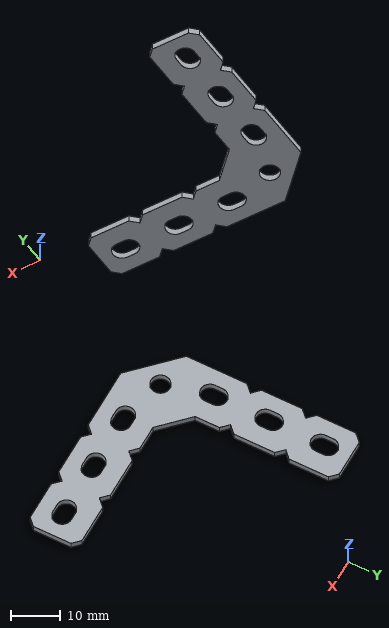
import cadquery as cq

arm_length = 50.5
arm_width = 11.92
thickness = 1.57

pitch = 12.7
slots_per_arm = 3
first_slot = 19.125
slot_line = 5.54
hole_diameter = 4.29
slot_width = 4.21
slot_length = 5.98
corner_hole_offset = 8.38

notch_depth = 1.66
outer_corner_cut = 9.87
inner_corner_fill = 6.31


def make_plate():
    """L-shaped plate with a cut outer corner, a filled inner corner and chamfered arm ends."""
    end_shoulder = arm_length - notch_depth
    inner_bend = arm_width + inner_corner_fill
    x_arm = [
        (outer_corner_cut, 0),
        (end_shoulder, 0),
        (arm_length, notch_depth),
        (arm_length, arm_width - notch_depth),
        (end_shoulder, arm_width),
        (inner_bend, arm_width),
    ]
    y_arm = [(y, x) for x, y in reversed(x_arm)]
    return cq.Workplane("XY").polyline(x_arm + y_arm).close().extrude(thickness)


def make_notch_pair(x):
    """Cutter for the two opposite V notches across the X arm at the given X."""
    notches = cq.Workplane("XY")
    for edge in (0, arm_width):
        diamond = [
            (x - notch_depth, edge),
            (x, edge - notch_depth),
            (x + notch_depth, edge),
            (x, edge + notch_depth),
        ]
        notches = notches.polyline(diamond).close()
    return notches.extrude(thickness)


def make_arm_cutter():
    """Slots along the X arm and the notch pairs midway between them."""
    slot_centres = [(first_slot + i * pitch, slot_line) for i in range(slots_per_arm)]
    cutter = (
        cq.Workplane("XY")
        .pushPoints(slot_centres)
        .slot2D(slot_length, slot_width)
        .extrude(thickness)
    )
    for slot_x, _ in slot_centres[:-1]:
        cutter = cutter.add(make_notch_pair(slot_x + pitch / 2))
    return cutter.combine()


def mirror_to_y_arm(cutter):
    """Reflect an X arm cutter across the diagonal X = Y."""
    return cutter.mirror("XZ").rotate((0, 0, 0), (0, 0, 1), 90)


def make_corner_hole():
    """Cutter for the round hole on the diagonal of the corner."""
    return (
        cq.Workplane("XY")
        .center(corner_hole_offset, corner_hole_offset)
        .circle(hole_diameter / 2)
        .extrude(thickness)
    )


arm_cutter = make_arm_cutter()
result = (
    make_plate()
    .cut(arm_cutter)
    .cut(mirror_to_y_arm(arm_cutter))
    .cut(make_corner_hole())
)